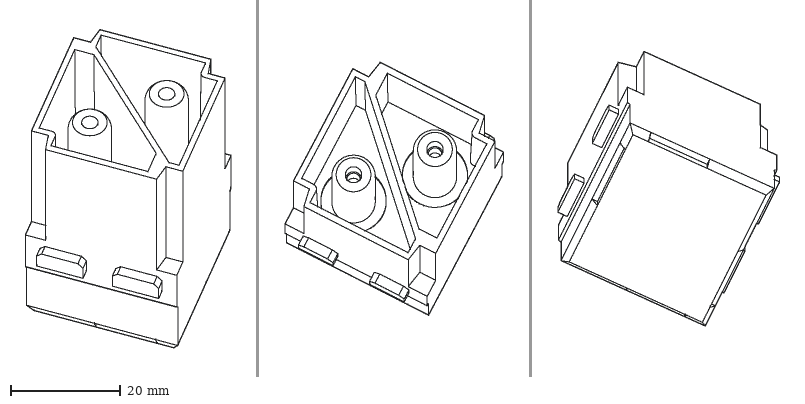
import cadquery as cq
import math

height = 49.0
width = 29.4
foot_depth = 29.3
body_depth = 30.4
step_bevel = (body_depth - foot_depth) / 2
step_top = 13.95

foot_chamfer_height = 2.4
foot_chamfer_inset = 1.15
foot_pocket_width = 11.9
foot_pocket_offset = 4.4

notch_floor = 23.1
notch_depth = 3.4
notch_mouth_x = 10.8
notch_root_x = 11.4

lug_projection = 1.9
lug_bottom = 17.5
lug_top = 21.25
lug_chamfer_height = 0.95
front_lug_chamfer_width = 1.0
rear_lug_chamfer_width = 1.15
lug_center_x = 7.35
front_lug_width = 9.0
rear_lug_width = 7.15

chamber_floor = 23.1
chamber_x = 13.55
rear_chamber_y = 14.0
front_chamber_y = 13.95
chamber_draft = 0.25
inner_x = 10.15
inner_y = 10.7
inner_corner_radius = 1.0
corner_search = 0.5
rear_wall_offset = 0.95
front_wall_offset = -0.7
front_chamber_right = 8.65
front_chamber_rear = 9.15

pin_offset = 5.55
pin_diameter = 8.0
pin_top = 47.9
pin_tip_diameter = 6.35
pin_tip_radius = 2.5
pin_hole_diameter = 3.0
pin_bore_diameter = 2.5
pin_hole_depth = 4.9
pin_bore_depth = 9.8
pin_seat_diameter = 12.0
pin_seat_depth = 1.0


def make_block():
    """Stepped side profile swept along X, with the foot chamfered all round."""
    half_foot = foot_depth / 2
    half_body = body_depth / 2
    profile = [
        (-half_foot, 0),
        (half_foot, 0),
        (half_foot, step_top - step_bevel),
        (half_body, step_top),
        (half_body, height),
        (-half_body, height),
        (-half_body, step_top),
        (-half_foot, step_top - step_bevel),
    ]
    block = cq.Workplane("YZ").polyline(profile).close().extrude(width / 2, both=True)
    return block.faces("<Z").chamfer(foot_chamfer_inset, foot_chamfer_height)


def make_foot_pockets():
    """Upright-walled pockets that interrupt the chamfer on each of the four sides."""
    y_center = (foot_depth - foot_chamfer_inset) / 2
    x_center = (width - foot_chamfer_inset) / 2
    sides = [
        (foot_pocket_width, foot_chamfer_inset, foot_pocket_offset, -y_center),
        (foot_pocket_width, foot_chamfer_inset, -foot_pocket_offset, y_center),
        (foot_chamfer_inset, foot_pocket_width, -x_center, foot_pocket_offset),
        (foot_chamfer_inset, foot_pocket_width, x_center, -foot_pocket_offset),
    ]
    pockets = cq.Workplane("XY")
    for size_x, size_y, x, y in sides:
        pocket = cq.Workplane("XY").box(size_x, size_y, foot_chamfer_height)
        pockets = pockets.add(pocket.translate((x, y, foot_chamfer_height / 2)))
    return pockets.combine()


def make_notch(side_x, side_y):
    """Corner notch with one slightly slanted wall."""
    mouth_y = body_depth / 2
    root_y = mouth_y - notch_depth
    corners = [
        (notch_mouth_x, mouth_y),
        (width / 2, mouth_y),
        (width / 2, root_y),
        (notch_root_x, root_y),
    ]
    points = [(side_x * x, side_y * y) for x, y in corners]
    return cq.Workplane("XY", origin=(0, 0, notch_floor)).polyline(points).close().extrude(height - notch_floor)


def make_lug(x, side_y, lug_width, chamfer_width):
    """Latch lug with its two upper corners chamfered."""
    half_width = lug_width / 2
    shoulder = lug_top - lug_chamfer_height
    points = [
        (-half_width, lug_bottom),
        (half_width, lug_bottom),
        (half_width, shoulder),
        (half_width - chamfer_width, lug_top),
        (-half_width + chamfer_width, lug_top),
        (-half_width, shoulder),
    ]
    lug = cq.Workplane("XZ").polyline(points).close().extrude(lug_projection / 2, both=True)
    return lug.translate((x, side_y * (body_depth + lug_projection) / 2, 0))


def make_chamber(outline, corner_x, corner_y):
    """Chamber lofted from floor to rim, rounded where it wraps around a corner notch."""
    floor = cq.Workplane("XY", origin=(0, 0, chamber_floor)).polyline(outline(chamber_draft)).close()
    rim = floor.workplane(offset=height - chamber_floor).polyline(outline(0)).close()
    chamber = rim.loft(ruled=True, combine=True)
    corner_box = cq.selectors.BoxSelector(
        (corner_x - corner_search, corner_y - corner_search, chamber_floor),
        (corner_x + corner_search, corner_y + corner_search, height),
    )
    return chamber.edges(corner_box).fillet(inner_corner_radius)


def rear_outline(inset):
    """Outline behind the diagonal wall; the inset moves every side but the diagonal."""
    left = -inner_x + inset
    bottom = -inner_y + inset
    return [
        (left, rear_wall_offset - left),
        (left, rear_chamber_y - inset),
        (inner_x - inset, rear_chamber_y - inset),
        (inner_x - inset, inner_y - inset),
        (chamber_x - inset, inner_y - inset),
        (chamber_x - inset, bottom),
        (rear_wall_offset - bottom, bottom),
    ]


def front_outline(inset):
    """Outline in front of the diagonal wall; the inset moves every side but the diagonal."""
    right = front_chamber_right - inset
    rear = front_chamber_rear - inset
    return [
        (right, front_wall_offset - right),
        (right, -front_chamber_y + inset),
        (-inner_x + inset, -front_chamber_y + inset),
        (-inner_x + inset, -inner_y + inset),
        (-chamber_x + inset, -inner_y + inset),
        (-chamber_x + inset, rear),
        (front_wall_offset - rear, rear),
    ]


def cylinder(x, y, diameter, bottom, top):
    return cq.Workplane("XY", origin=(x, y, bottom)).circle(diameter / 2).extrude(top - bottom)


def make_pin(x, y):
    """Hollow pin contact with a bullet-shaped tip and a stepped bore."""
    radius = pin_diameter / 2
    tip = pin_tip_diameter / 2
    seat = chamber_floor - pin_seat_depth
    arc_center = radius - pin_tip_radius
    end_angle = math.acos((tip - arc_center) / pin_tip_radius)
    arc_start = pin_top - pin_tip_radius * math.sin(end_angle)
    arc_middle = (
        arc_center + pin_tip_radius * math.cos(end_angle / 2),
        arc_start + pin_tip_radius * math.sin(end_angle / 2),
    )
    half_section = (
        cq.Workplane("XZ")
        .moveTo(0, seat)
        .lineTo(radius, seat)
        .lineTo(radius, arc_start)
        .threePointArc(arc_middle, (tip, pin_top))
        .lineTo(0, pin_top)
        .close()
    )
    pin = half_section.revolve(360, (0, 0), (0, 1)).translate((x, y, 0))
    pin = pin.cut(cylinder(x, y, pin_hole_diameter, pin_top - pin_hole_depth, pin_top))
    return pin.cut(cylinder(x, y, pin_bore_diameter, pin_top - pin_bore_depth, pin_top))


result = make_block().cut(make_foot_pockets())

for side_x in (-1, 1):
    for side_y in (-1, 1):
        result = result.cut(make_notch(side_x, side_y))
    result = result.union(make_lug(side_x * lug_center_x, -1, front_lug_width, front_lug_chamfer_width))
    result = result.union(make_lug(side_x * lug_center_x, 1, rear_lug_width, rear_lug_chamfer_width))

result = result.cut(make_chamber(rear_outline, inner_x, inner_y))
result = result.cut(make_chamber(front_outline, -inner_x, -inner_y))

for side in (-1, 1):
    pin_x = side * pin_offset
    pin_y = side * pin_offset
    result = result.cut(
        cylinder(pin_x, pin_y, pin_seat_diameter, chamber_floor - pin_seat_depth, chamber_floor)
    )
    result = result.union(make_pin(pin_x, pin_y))